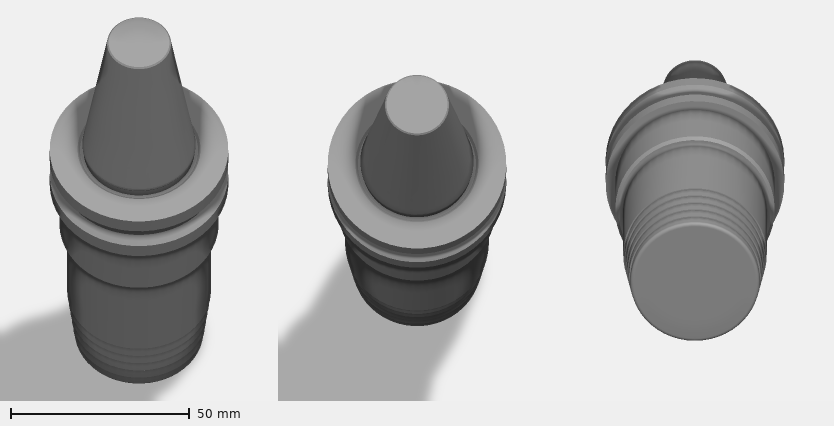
import cadquery as cq

total_height = 137.8
flange_radius = 25.01

body_radius = 20.1
body_top = 50.2
step_count = 5
step_height = 4.0
step_depth = 0.4
nose_rounding = 1.0
nose_height = step_count * step_height
nose_tip_radius = body_radius - step_count * step_depth

collar_radius = 22.3
collar_chamfer = 0.8
shoulder_fillet = 1.0
collar_bottom = body_top + shoulder_fillet

flange_bottom = 70.7
flange_top = 87.1
rim_height = 4.7
groove_radius = collar_radius
groove_flank_height = 1.7

taper_bottom = 89.8
taper_base_radius = 15.8
taper_tip_radius = 9.0
taper_tip_chamfer = 0.4
band_height = 0.7
neck_radius = 15.6
neck_flank_height = 0.5
band_bottom = taper_bottom - band_height
neck_top = band_bottom - neck_flank_height

relief_outer_radius = 17.2
relief_floor_radius = 16.5
relief_depth = 0.5
relief_floor = flange_top - relief_depth


def nose_outline():
    """Half profile of the stepped nose, from its tip on the axis up to the body."""
    outline = (
        cq.Workplane("XZ")
        .moveTo(0, 0)
        .lineTo(nose_tip_radius - nose_rounding, 0)
        .radiusArc((nose_tip_radius, nose_rounding), -nose_rounding)
    )
    for index in range(1, step_count + 1):
        radius = nose_tip_radius + index * step_depth
        height = index * step_height
        outline = outline.lineTo(radius - step_depth, height)
        outline = outline.lineTo(radius, height)
    return outline


def holder():
    """Revolve the half profile, from the nose tip up to the taper tip."""
    return (
        nose_outline()
        .lineTo(body_radius, body_top)
        .radiusArc((body_radius + shoulder_fillet, collar_bottom), shoulder_fillet)
        .lineTo(collar_radius - collar_chamfer, collar_bottom)
        .lineTo(collar_radius, collar_bottom + collar_chamfer)
        .lineTo(collar_radius, flange_bottom)
        .lineTo(flange_radius, flange_bottom)
        .lineTo(flange_radius, flange_bottom + rim_height)
        .lineTo(groove_radius, flange_bottom + rim_height + groove_flank_height)
        .lineTo(groove_radius, flange_top - rim_height - groove_flank_height)
        .lineTo(flange_radius, flange_top - rim_height)
        .lineTo(flange_radius, flange_top)
        .lineTo(relief_outer_radius, flange_top)
        .lineTo(relief_floor_radius, relief_floor)
        .lineTo(neck_radius, relief_floor)
        .lineTo(neck_radius, neck_top)
        .lineTo(taper_base_radius, band_bottom)
        .lineTo(taper_base_radius, taper_bottom)
        .lineTo(taper_tip_radius, total_height - taper_tip_chamfer)
        .lineTo(taper_tip_radius - taper_tip_chamfer, total_height)
        .lineTo(0, total_height)
        .close()
        .revolve(360, (0, 0, 0), (0, 1, 0))
    )


result = holder()